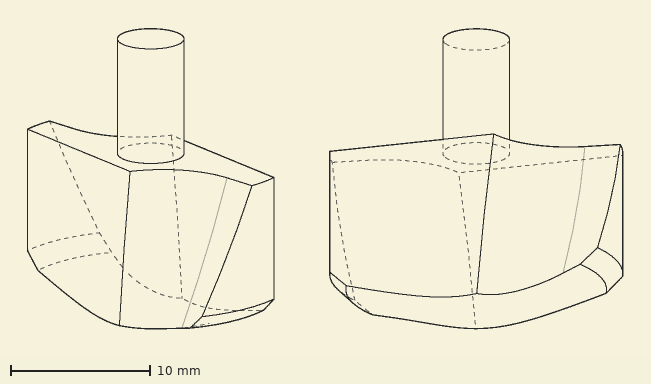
import cadquery as cq
import math

overall_height = 21.8
body_top = 13.16
chamfer_top = 4.0
chamfer_size = 1.17

body_radius = 10.54
web_thickness = 7.47
shank_diameter = 4.8

rake_start = (7.9, 0.97)
rake_angle = 7.5
flute_radius = 6.4
twist_per_mm = 2.53

cutter_reach = 13.0


def revolved_envelope():
    """Cylinder with a chamfered rim and a conical point."""
    cone_radius = body_radius - chamfer_size
    cone_top = chamfer_top - chamfer_size
    return (
        cq.Workplane("XZ")
        .moveTo(0, 0)
        .lineTo(cone_radius, cone_top)
        .lineTo(body_radius, chamfer_top)
        .lineTo(body_radius, body_top)
        .lineTo(0, body_top)
        .close()
        .revolve(360, (0, 0, 0), (0, 1, 0))
    )


def flat_slab():
    """Slab that gives the body its two flat faces."""
    return cq.Workplane("XY").box(
        2 * body_radius, web_thickness, body_top, centered=(True, True, False)
    )


def flute_cutter():
    """Twisted cutter: a straight rake face that runs tangent into a round gullet."""
    rake = math.radians(rake_angle)
    start_x, start_y = rake_start
    center_x = start_x + flute_radius * math.sin(rake)
    center_y = start_y - flute_radius * math.cos(rake)
    middle_angle = (math.pi / 2 + rake + math.pi) / 2
    arc_middle = (
        center_x + flute_radius * math.cos(middle_angle),
        center_y + flute_radius * math.sin(middle_angle),
    )
    arc_end = (center_x - flute_radius, center_y)
    rake_end = (cutter_reach, start_y + (cutter_reach - start_x) * math.tan(rake))
    return (
        cq.Workplane("XY", origin=(0, 0, body_top))
        .moveTo(*rake_end)
        .lineTo(*rake_start)
        .threePointArc(arc_middle, arc_end)
        .lineTo(arc_end[0], -cutter_reach)
        .lineTo(cutter_reach, -cutter_reach)
        .close()
        .twistExtrude(-body_top, twist_per_mm * body_top)
    )


def shank():
    """Round shank standing on the top of the body."""
    return (
        cq.Workplane("XY", origin=(0, 0, body_top))
        .circle(shank_diameter / 2)
        .extrude(overall_height - body_top)
    )


body = revolved_envelope().intersect(flat_slab())
for turn in (0, 180):
    body = body.cut(flute_cutter().rotate((0, 0, 0), (0, 0, 1), turn))

result = body.union(shank())